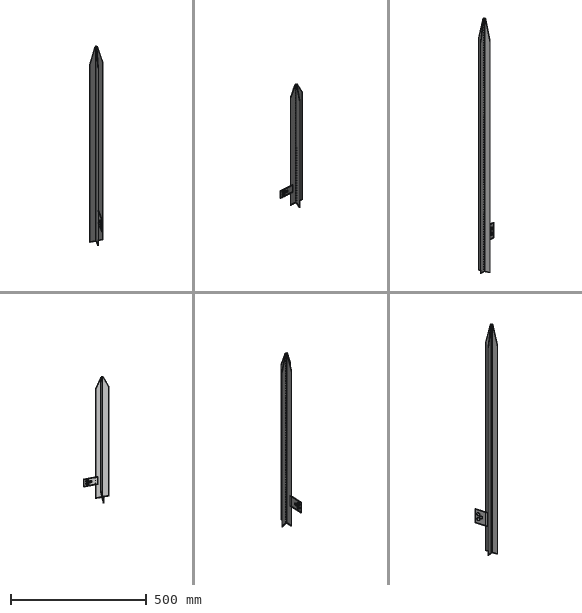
import cadquery as cq

stake_length = 1000.0
stake_width = 49.97
root_thickness = 3.4
tip_thickness = 2.5
point_length = 85.0
point_tip_width = 10.0

overall_width = 93.55
plate_overlap = 9.0
plate_height = 60.0
plate_thickness = 3.0
plate_bottom = 110.0

hole_diameter = 12.0
hole_offset_x = 12.0
hole_offset_z = 10.5
pattern_margin = 13.5

half_width = stake_width / 2
half_root = root_thickness / 2
half_tip = tip_thickness / 2
edge_start = half_width - half_tip


def make_bar():
    """Full-length bar along X, thinning slightly from the root to rounded edges."""
    return (
        cq.Workplane("XY")
        .moveTo(0, -half_root)
        .lineTo(edge_start, -half_tip)
        .threePointArc((half_width, 0), (edge_start, half_tip))
        .lineTo(0, half_root)
        .lineTo(-edge_start, half_tip)
        .threePointArc((-half_width, 0), (-edge_start, -half_tip))
        .close()
        .extrude(stake_length)
    )


def make_point_envelope():
    """Pointed outline in the XZ plane, deep enough in Y to cover a bar."""
    half_point_tip = point_tip_width / 2
    shoulder = stake_length - point_length
    outline = [
        (-half_width, 0),
        (half_width, 0),
        (half_width, shoulder),
        (half_point_tip, stake_length),
        (-half_point_tip, stake_length),
        (-half_width, shoulder),
    ]
    envelope = cq.Workplane("XZ").polyline(outline).close()
    return envelope.extrude(root_thickness, both=True)


def make_stake():
    """Two identical pointed blades crossing at right angles."""
    blade = make_bar().intersect(make_point_envelope())
    crossing_blade = blade.rotate((0, 0, 0), (0, 0, 1), 90)
    return blade.union(crossing_blade)


def make_plate():
    """Rectangular plate with three through holes."""
    plate_left = half_width - plate_overlap
    plate_right = overall_width - half_width
    arm_slope = (half_root - half_tip) / edge_start
    plate_front = half_root - arm_slope * plate_left
    plate = cq.Workplane("XY").box(
        plate_right - plate_left, plate_thickness, plate_height, centered=False
    ).translate((plate_left, plate_front, plate_bottom))

    pattern_x = plate_right - pattern_margin
    pattern_z = plate_bottom + plate_height / 2
    hole_centres = [
        (pattern_x - hole_offset_x, pattern_z),
        (pattern_x, pattern_z + hole_offset_z),
        (pattern_x, pattern_z - hole_offset_z),
    ]
    holes = (
        cq.Workplane("XZ", origin=(0, plate_front, 0))
        .pushPoints(hole_centres)
        .circle(hole_diameter / 2)
        .extrude(-plate_thickness)
    )
    return plate.cut(holes)


stake = make_stake()
plate = make_plate()

result = cq.Compound.makeCompound([stake.val(), plate.val()])